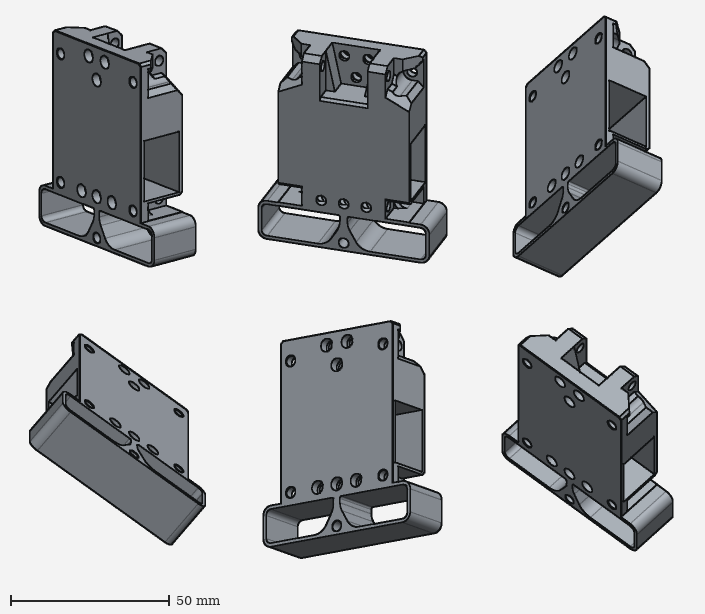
import cadquery as cq
import math

HEIGHT = 66.5
DEPTH = 17.0
OVER = 3.3

HANDLE_WIDTH = 57.2
HANDLE_HEIGHT = 13.5
HANDLE_WALL = 1.2
HANDLE_RADIUS = 3.0
WEB_HALF = 1.25
WEB_NECK_Z = 8.8
WEB_SLOPE = math.radians(30)
WEB_BEND_RADIUS = 5.3
WEB_TOP_RADIUS = 0.65

BODY_HALF = 21.9
TOP_CORNER_CHAMFER = 0.9
FRONT_EDGE_CHAMFER = 0.2
BACK_CORNER_CHAMFER = 1.0

HOLE_D = 3.3
RIM_D = 3.7
MOUNT_X = 17.95
MOUNT_LOW_Z = 16.55
MOUNT_HIGH_Z = 59.45
BORE_D = 4.25
BORE_DEPTH = 3.0
UPPER_PAIR_X = 4.0
UPPER_PAIR_Z = 62.45
UPPER_SINGLE_Z = 55.45
LOWER_PAIR_X = 7.5
HANDLE_HOLE_Z = 2.8
HANDLE_RIM_D = 3.6

POCKET_RADIUS = 2.9
FLANGE_DEPTH = 3.0
FLANGE_BEVEL_X = 16.9
FLARE = 1.9

EAR_OUTER = 13.95
EAR_INNER = 8.0
EAR_ROOT_Y = 9.0
EAR_CHAMFER = 2.0
CROSS_HOLE_Y = 14.0
CROSS_HOLE_HIGH_Z = 62.5
LOW_CONE_DEPTH = 1.05

SHOULDER_Z = 58.3
SHOULDER_FALL = 0.41
BEVEL_FALL = 0.48
SHOULDER_RAMP_Y = 1.85
SHOULDER_RAMP_Z = 2.45

SLOT_FRONT_Y = 5.0
SLOT_FLOOR_Z = 52.55
SLOT_CHAMFER = 0.9
WEDGE_BACK_Y = 11.1
WEDGE_FLOOR_HALF = 5.0

WINDOW_FRONT_Y = 1.3
WINDOW_BACK_Y = 15.7
WINDOW_LOW_Z = 20.4
WINDOW_HIGH_Z = 40.6
MIDDLE_WALL = 4.0
WALL_HOLE_D = 3.6
WALL_HOLE_Y = 10.2
WALL_HOLE_Z = (25.95, 34.9)


def box(x0, x1, y0, y1, z0, z1):
    return cq.Workplane("XY").box(x1 - x0, y1 - y0, z1 - z0, centered=False).translate((x0, y0, z0))


def along_y(outline, y0, y1):
    """Prism from (x, z) points, running from y0 to y1."""
    return cq.Workplane("XZ", origin=(0, y0, 0)).polyline(outline).close().extrude(y0 - y1)


def rod_y(x, z, diameter, y0, y1):
    return cq.Workplane("XZ", origin=(x, y0, z)).circle(diameter / 2).extrude(y0 - y1)


def cone_y(x, z, diameter0, diameter1, y0, y1):
    solid = cq.Solid.makeCone(
        diameter0 / 2, diameter1 / 2, y1 - y0, cq.Vector(x, y0, z), cq.Vector(0, 1, 0)
    )
    return cq.Workplane(solid)


def rod_x(y, z, diameter):
    half = HANDLE_WIDTH / 2
    return cq.Workplane("YZ", origin=(-half, y, z)).circle(diameter / 2).extrude(2 * half)


def both_sides(tool):
    return tool.union(tool.mirror("YZ"))


def handle():
    outer = box(-HANDLE_WIDTH / 2, HANDLE_WIDTH / 2, 0, DEPTH, 0, HANDLE_HEIGHT)
    return outer.edges("|Y").fillet(HANDLE_RADIUS)


def handle_loop():
    """Opening on the +X side of the handle's web."""
    low = HANDLE_WALL
    high = HANDLE_HEIGHT - HANDLE_WALL
    outer_x = HANDLE_WIDTH / 2 - HANDLE_WALL
    foot_x = WEB_HALF + (WEB_NECK_Z - low) * math.tan(WEB_SLOPE)
    outline = [
        (WEB_HALF, high),
        (WEB_HALF, WEB_NECK_Z),
        (foot_x, low),
        (outer_x, low),
        (outer_x, high),
    ]
    loop = along_y(outline, -OVER, DEPTH + OVER)
    middle_y = DEPTH / 2
    loop = loop.edges("|Y").edges(">X").fillet(HANDLE_RADIUS - HANDLE_WALL)
    for x, z in ((foot_x, low), (WEB_HALF, WEB_NECK_Z)):
        bend = cq.selectors.NearestToPointSelector((x, middle_y, z))
        loop = loop.edges(bend).fillet(WEB_BEND_RADIUS)
    top = cq.selectors.NearestToPointSelector((WEB_HALF, middle_y, high))
    return loop.edges(top).fillet(WEB_TOP_RADIUS)


def body():
    block = box(-BODY_HALF, BODY_HALF, 0, DEPTH, HANDLE_HEIGHT / 2, HEIGHT)
    block = block.edges("|Y and >Z").chamfer(TOP_CORNER_CHAMFER)
    block = block.edges(">Z and >Y").chamfer(EAR_CHAMFER)
    return block.faces("<Y").edges("not <Z").chamfer(FRONT_EDGE_CHAMFER)


def lower_pocket():
    """Round-ended clearance behind a lower mounting hole, stepped back beside the ear."""
    low = MOUNT_LOW_Z - POCKET_RADIUS
    high = MOUNT_LOW_Z + POCKET_RADIUS
    side = BODY_HALF + OVER
    slot = rod_y(MOUNT_X, MOUNT_LOW_Z, 2 * POCKET_RADIUS, FLANGE_DEPTH, DEPTH + OVER)
    slot = slot.union(box(MOUNT_X, side, FLANGE_DEPTH, DEPTH + OVER, low, high))
    beside_ear = box(EAR_OUTER, side, EAR_ROOT_Y, DEPTH + OVER, low, high)
    cone = cone_y(
        MOUNT_X, MOUNT_LOW_Z, 2 * POCKET_RADIUS, 2 * (MOUNT_X - EAR_OUTER),
        EAR_ROOT_Y - LOW_CONE_DEPTH, EAR_ROOT_Y,
    ).intersect(box(0, side, 0, DEPTH, low, high))
    bevel = cq.Workplane("YZ", origin=(EAR_OUTER, 0, 0)).polyline([
        (DEPTH - BACK_CORNER_CHAMFER, high),
        (DEPTH, high),
        (DEPTH, high + BACK_CORNER_CHAMFER),
    ]).close().extrude(side - EAR_OUTER)
    return slot.union(beside_ear).union(cone).union(bevel)


def upper_pocket():
    """Round-ended clearance behind an upper mounting hole, flared at the side."""
    low = MOUNT_HIGH_Z - POCKET_RADIUS
    high = MOUNT_HIGH_Z + POCKET_RADIUS
    flare_x = BODY_HALF - FLARE
    outline = [
        (MOUNT_X, low),
        (flare_x, low),
        (BODY_HALF, low - FLARE),
        (BODY_HALF, high + FLARE),
        (flare_x, high),
        (MOUNT_X, high),
    ]
    round_end = rod_y(MOUNT_X, MOUNT_HIGH_Z, 2 * POCKET_RADIUS, FLANGE_DEPTH, DEPTH)
    return round_end.union(along_y(outline, FLANGE_DEPTH, DEPTH))


def flange_bevel():
    """45 degree slope thinning the top flange towards the side."""
    run = BODY_HALF + OVER - FLANGE_BEVEL_X
    outline = [
        (FLANGE_BEVEL_X, EAR_ROOT_Y),
        (FLANGE_BEVEL_X + run, EAR_ROOT_Y - run),
        (FLANGE_BEVEL_X + run, DEPTH),
        (FLANGE_BEVEL_X, DEPTH),
    ]
    tool = cq.Workplane("XY", origin=(0, 0, MOUNT_HIGH_Z)).polyline(outline).close()
    return tool.extrude(HEIGHT - MOUNT_HIGH_Z)


def falling_prism(outline, run, slope):
    """Prism from (y, z) points at the ear's outer face, dropping as it runs outward."""
    start = cq.Wire.makePolygon([cq.Vector(EAR_OUTER, y, z) for y, z in outline], close=True)
    end = start.translate(cq.Vector(run, 0, -slope * run))
    return cq.Workplane(cq.Solid.makeLoft([start, end], True))


def shoulder():
    """Clearance outside an upper ear, with a bevelled back edge."""
    bevel_y = DEPTH - EAR_CHAMFER
    top = HEIGHT + 2 * OVER
    clearance = falling_prism([
        (EAR_ROOT_Y, top),
        (EAR_ROOT_Y, SHOULDER_Z + SHOULDER_RAMP_Z),
        (EAR_ROOT_Y + SHOULDER_RAMP_Y, SHOULDER_Z),
        (DEPTH, SHOULDER_Z),
        (DEPTH, top),
    ], MOUNT_X - EAR_OUTER, SHOULDER_FALL)
    back_bevel = falling_prism([
        (bevel_y - OVER, SHOULDER_Z + OVER),
        (DEPTH, SHOULDER_Z - EAR_CHAMFER),
        (DEPTH, SHOULDER_Z + OVER),
    ], BODY_HALF - EAR_OUTER, BEVEL_FALL)
    return clearance.union(back_bevel)


def ear_slot():
    """Slot between the upper ears, narrowing downward next to the front wall."""
    wide = box(-EAR_INNER, EAR_INNER, WEDGE_BACK_Y, DEPTH, SLOT_FLOOR_Z, HEIGHT)
    tapered = along_y([
        (-EAR_INNER, HEIGHT),
        (-WEDGE_FLOOR_HALF, SLOT_FLOOR_Z),
        (WEDGE_FLOOR_HALF, SLOT_FLOOR_Z),
        (EAR_INNER, HEIGHT),
    ], SLOT_FRONT_Y, WEDGE_BACK_Y)
    bevel = cq.Workplane("YZ", origin=(-EAR_INNER, 0, 0)).polyline([
        (DEPTH - SLOT_CHAMFER, SLOT_FLOOR_Z),
        (DEPTH, SLOT_FLOOR_Z),
        (DEPTH, SLOT_FLOOR_Z - SLOT_CHAMFER),
    ]).close().extrude(2 * EAR_INNER)
    return wide.union(tapered).union(bevel)


def window():
    return box(
        MIDDLE_WALL / 2, BODY_HALF, WINDOW_FRONT_Y, WINDOW_BACK_Y, WINDOW_LOW_Z, WINDOW_HIGH_Z
    )


def rimmed_hole(x, z, rim_d):
    """Through hole with a 45 degree chamfer at the front."""
    rim_depth = (rim_d - HOLE_D) / 2
    hole = rod_y(x, z, HOLE_D, -OVER, DEPTH + OVER)
    return hole.union(cone_y(x, z, rim_d, HOLE_D, 0, rim_depth))


def bored_hole(x, z):
    """Through hole with a wider front bore that ends in a 45 degree cone."""
    cone_depth = (BORE_D - HOLE_D) / 2
    hole = rod_y(x, z, HOLE_D, -OVER, DEPTH + OVER)
    bore = rod_y(x, z, BORE_D, -OVER, BORE_DEPTH)
    cone = cone_y(x, z, BORE_D, HOLE_D, BORE_DEPTH, BORE_DEPTH + cone_depth)
    return hole.union(bore).union(cone)


result = handle().union(body())
for tool in (handle_loop(), lower_pocket(), upper_pocket(), flange_bevel(), shoulder(), window()):
    result = result.cut(both_sides(tool))
result = result.cut(ear_slot())

for side in (-1, 1):
    for z in (MOUNT_LOW_Z, MOUNT_HIGH_Z):
        result = result.cut(rimmed_hole(side * MOUNT_X, z, RIM_D))
    result = result.cut(bored_hole(side * UPPER_PAIR_X, UPPER_PAIR_Z))
    result = result.cut(bored_hole(side * LOWER_PAIR_X, MOUNT_LOW_Z))
for z in (MOUNT_LOW_Z, UPPER_SINGLE_Z):
    result = result.cut(bored_hole(0, z))
result = result.cut(rimmed_hole(0, HANDLE_HOLE_Z, HANDLE_RIM_D))

for z in (MOUNT_LOW_Z, CROSS_HOLE_HIGH_Z):
    result = result.cut(rod_x(CROSS_HOLE_Y, z, HOLE_D))
for z in WALL_HOLE_Z:
    result = result.cut(rod_x(WALL_HOLE_Y, z, WALL_HOLE_D))